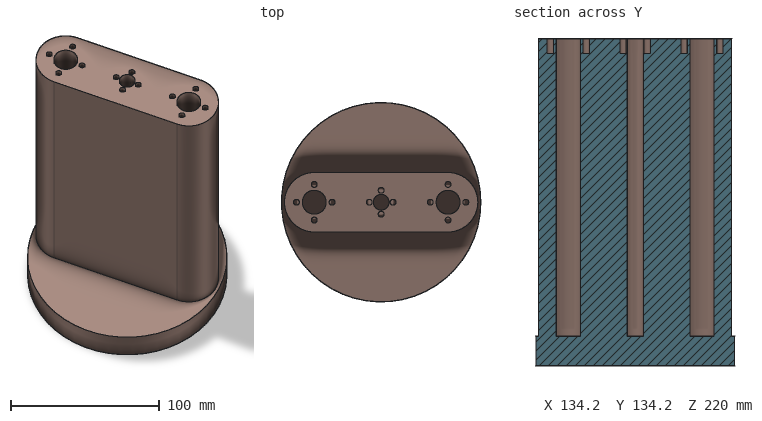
import cadquery as cq

total_height = 220.0
base_diameter = 134.2
base_thickness = 20.0
column_height = total_height - base_thickness

column_width = 40.0
end_spacing = 90.0
column_length = end_spacing + column_width

bore_depth = column_height
end_bore_diameter = 16.0
middle_bore_diameter = 10.5

end_ring_diameter = 24.0
middle_ring_diameter = 16.0
screw_hole_diameter = 4.0
screw_hole_depth = 10.0
screw_hole_count = 4


def bore_with_ring(x, bore_diameter, ring_diameter):
    """Cutter for a bore and its ring of screw holes, centred at x on the top face."""
    top = cq.Workplane("XY", origin=(x, 0, total_height))
    bore = top.circle(bore_diameter / 2).extrude(-bore_depth)
    screw_holes = (
        top.polarArray(ring_diameter / 2, 0, 360, screw_hole_count)
        .circle(screw_hole_diameter / 2)
        .extrude(-screw_hole_depth)
    )
    return bore.union(screw_holes)


base = cq.Workplane("XY").circle(base_diameter / 2).extrude(base_thickness)
column = (
    cq.Workplane("XY")
    .workplane(offset=base_thickness)
    .slot2D(column_length, column_width)
    .extrude(column_height)
)

result = base.union(column)
result = result.cut(bore_with_ring(0, middle_bore_diameter, middle_ring_diameter))
for end_x in (-end_spacing / 2, end_spacing / 2):
    result = result.cut(bore_with_ring(end_x, end_bore_diameter, end_ring_diameter))